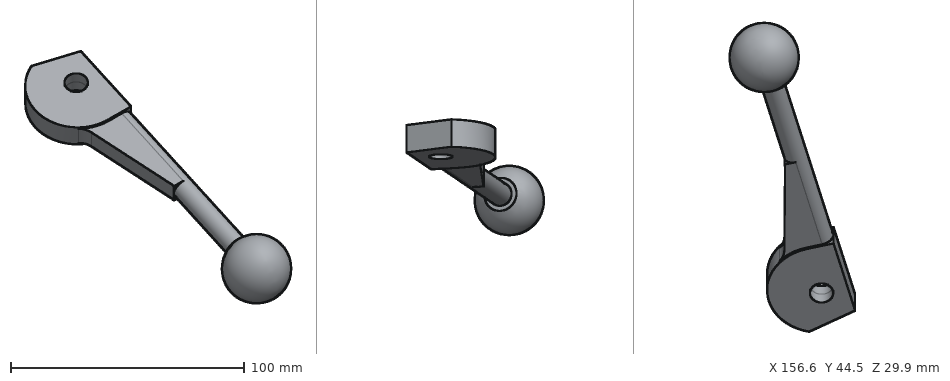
import cadquery as cq
import math


rod_diameter = 10.0
rod_radius = rod_diameter / 2
ball_diameter = 29.9
ball_radius = ball_diameter / 2
ball_center_x = 123.1
ball_flat_diameter = 14.4

plate_thickness = 12.0
plate_top_y = rod_radius
cam_radius = 22.5
cam_center_x = 1.7
cam_center_y = -7.0
corner_x = -12.7
slope_angle = math.radians(15)
slope = math.tan(slope_angle)

hole_diameter = 10.0
hole_y = -6.6

web_thickness = rod_diameter
web_end_x = 69.4
web_tip_flat = 1.1
web_fillet = 8.6

root_x = cam_center_x + cam_radius / 2


def make_plate():
    """Round-bottomed cam plate with a slanted free edge and a pivot hole."""
    right_x = cam_center_x + cam_radius
    left_x = cam_center_x - cam_radius
    blank = (
        cq.Workplane("XY")
        .moveTo(left_x, plate_top_y)
        .lineTo(right_x, plate_top_y)
        .lineTo(right_x, cam_center_y)
        .threePointArc((cam_center_x, cam_center_y - cam_radius), (left_x, cam_center_y))
        .close()
        .extrude(plate_thickness / 2, both=True)
    )
    bottom_y = cam_center_y - cam_radius
    slant_bottom_x = corner_x - (plate_top_y - bottom_y) * slope
    keep = (
        cq.Workplane("XY")
        .polyline([
            (corner_x, plate_top_y),
            (right_x, plate_top_y),
            (right_x, bottom_y),
            (slant_bottom_x, bottom_y),
        ])
        .close()
        .extrude(plate_thickness / 2, both=True)
    )
    hole = (
        cq.Workplane("XY")
        .center(0, hole_y)
        .circle(hole_diameter / 2)
        .extrude(plate_thickness / 2, both=True)
    )
    return blank.intersect(keep).cut(hole)


def make_web():
    """Tapered web whose lower edge blends into the cam with a concave arc."""
    taper_x = web_end_x - web_tip_flat
    taper_y = -rod_radius

    u_x, u_y = -math.cos(slope_angle), -math.sin(slope_angle)
    v_x, v_y = math.sin(slope_angle), -math.cos(slope_angle)
    cam_dx = cam_center_x - taper_x
    cam_dy = cam_center_y - taper_y
    cam_u = cam_dx * u_x + cam_dy * u_y
    cam_v = cam_dx * v_x + cam_dy * v_y

    blend_u = cam_u - math.sqrt((cam_radius + web_fillet) ** 2 - (web_fillet - cam_v) ** 2)

    def from_taper(u, v):
        return (taper_x + u * u_x + v * v_x, taper_y + u * u_y + v * v_y)

    blend_start = from_taper(blend_u, 0)
    blend_x, blend_y = from_taper(blend_u, web_fillet)
    share = cam_radius / (cam_radius + web_fillet)
    blend_end = (
        cam_center_x + (blend_x - cam_center_x) * share,
        cam_center_y + (blend_y - cam_center_y) * share,
    )
    start_angle = math.atan2(blend_start[1] - blend_y, blend_start[0] - blend_x)
    end_angle = math.atan2(blend_end[1] - blend_y, blend_end[0] - blend_x)
    middle_angle = (start_angle + end_angle) / 2
    blend_middle = (
        blend_x + web_fillet * math.cos(middle_angle),
        blend_y + web_fillet * math.sin(middle_angle),
    )
    return (
        cq.Workplane("XY")
        .moveTo(root_x, 0)
        .lineTo(web_end_x, 0)
        .lineTo(web_end_x, taper_y)
        .lineTo(taper_x, taper_y)
        .lineTo(*blend_start)
        .threePointArc(blend_middle, blend_end)
        .lineTo(root_x, blend_end[1])
        .close()
        .extrude(web_thickness / 2, both=True)
    )


def make_rod():
    """Rod from inside the plate to the middle of the ball."""
    return (
        cq.Workplane("YZ", origin=(root_x, 0, 0))
        .circle(rod_radius)
        .extrude(ball_center_x - root_x)
    )


def make_ball():
    """Ball knob, cut flat where the rod enters."""
    flat_offset = math.sqrt(ball_radius ** 2 - (ball_flat_diameter / 2) ** 2)
    ball = cq.Workplane("XY").sphere(ball_radius)
    keep = cq.Workplane("XY").box(
        flat_offset + ball_radius, ball_diameter, ball_diameter
    ).translate(((ball_radius - flat_offset) / 2, 0, 0))
    return ball.intersect(keep).translate((ball_center_x, 0, 0))


result = make_plate().union(make_web()).union(make_rod()).union(make_ball())